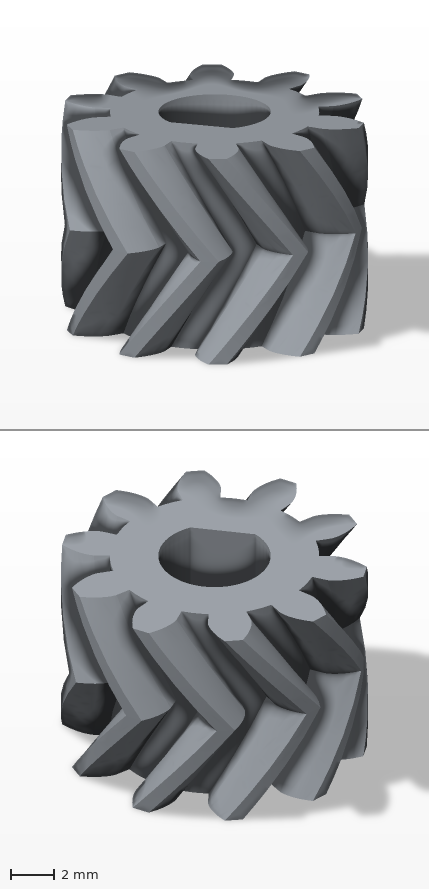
import cadquery as cq
import math

tooth_count = 10
tip_radius = 7.1
base_radius = 5.57
root_radius = 4.85
sunken_radius = 4.26
base_half_angle = 10.4
gear_height = 10.0
twist_angle = 33.0
bore_diameter = 5.2
flat_distance = 2.1
flank_steps = 6

half_height = gear_height / 2
pitch_angle = 360 / tooth_count


def polar(radius, degrees):
    """Point at the given radius and angle about the gear axis."""
    angle = math.radians(degrees)
    return (radius * math.cos(angle), radius * math.sin(angle))


def flank_half_angle(radius):
    """Half the angle of an involute tooth at a radius on or above the base circle."""
    pressure_angle = math.acos(base_radius / radius)
    return base_half_angle - math.degrees(math.tan(pressure_angle) - pressure_angle)


def flank_points(tooth_angle, side):
    """Points along one involute flank, from the base circle out to the tip."""
    points = []
    for step in range(flank_steps + 1):
        radius = base_radius + (tip_radius - base_radius) * (step / flank_steps) ** 2
        points.append(polar(radius, tooth_angle + side * flank_half_angle(radius)))
    return points


def add_tooth(outline, tooth_angle):
    """Continue the outline around one tooth, from one sunken foot to the other."""
    rising = flank_points(tooth_angle, -1)
    falling = flank_points(tooth_angle, 1)[::-1]
    return (
        outline.lineTo(*polar(sunken_radius, tooth_angle - base_half_angle))
        .lineTo(*rising[0])
        .spline(rising[1:], includeCurrent=True)
        .threePointArc(polar(tip_radius, tooth_angle), falling[0])
        .spline(falling[1:], includeCurrent=True)
        .lineTo(*polar(sunken_radius, tooth_angle + base_half_angle))
    )


def make_helical_half():
    """Upper half of the toothing, from the middle plane to a face with a tooth on +X."""
    last_foot_angle = base_half_angle - pitch_angle
    outline = cq.Workplane("XY").moveTo(*polar(sunken_radius, last_foot_angle))
    for tooth in range(tooth_count):
        outline = add_tooth(outline, tooth * pitch_angle)
    twisted = outline.wire().twistExtrude(half_height, -twist_angle)
    return twisted.rotate((0, 0, 0), (0, 0, 1), twist_angle)


def make_bore():
    """D-shaped through hole with its flat on the -Y side."""
    round_hole = cq.Workplane("XY").circle(bore_diameter / 2).extrude(gear_height, both=True)
    flat_keeper = (
        cq.Workplane("XY")
        .rect(bore_diameter, bore_diameter)
        .extrude(gear_height, both=True)
        .translate((0, bore_diameter / 2 - flat_distance, 0))
    )
    return round_hole.intersect(flat_keeper)


upper_half = make_helical_half()
lower_half = upper_half.mirror("XY")
hub = cq.Workplane("XY").circle(root_radius).extrude(half_height, both=True)
gear = hub.union(upper_half).union(lower_half).cut(make_bore())

result = gear.translate((0, 0, half_height))